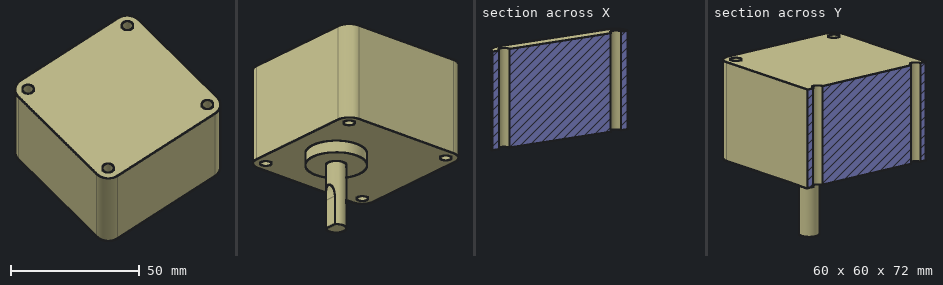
import cadquery as cq
import math

total_height = 72.0
body_side = 60.0
corner_radius = 5.8

hole_diameter = 4.5
hole_spacing = 49.5

shaft_offset = 10.0
boss_diameter = 24.0
boss_height = 5.0
shaft_diameter = 8.0
shaft_length = 27.0
body_height = total_height - boss_height - shaft_length

flat_depth = 1.0
flat_length = 12.0
runout_radius = 15.0

shaft_tip_z = -boss_height - shaft_length


def make_body():
    """Rounded square housing, bottom at Z = 0, with four through holes."""
    return (
        cq.Workplane("XY")
        .rect(body_side, body_side)
        .extrude(body_height)
        .edges("|Z")
        .fillet(corner_radius)
        .faces(">Z")
        .workplane()
        .rect(hole_spacing, hole_spacing, forConstruction=True)
        .vertices()
        .hole(hole_diameter)
    )


def cylinder_below_body(diameter, length):
    """Cylinder on the shaft axis, hanging down from the bottom of the body."""
    return cq.Workplane("XY").center(0, shaft_offset).circle(diameter / 2).extrude(-length)


def make_flat_cutter():
    """Material removed for the shaft flat; the run-out arc is tangent to the flat."""
    surface_y = shaft_offset + shaft_diameter / 2
    flat_y = surface_y - flat_depth
    flat_end_z = shaft_tip_z + flat_length
    runout_height = math.sqrt(runout_radius**2 - (runout_radius - flat_depth) ** 2)
    half_angle = math.asin(runout_height / runout_radius) / 2
    arc_middle = (
        flat_y + runout_radius * (1 - math.cos(half_angle)),
        flat_end_z + runout_radius * math.sin(half_angle),
    )
    return (
        cq.Workplane("YZ")
        .moveTo(flat_y, shaft_tip_z)
        .lineTo(flat_y, flat_end_z)
        .threePointArc(arc_middle, (surface_y, flat_end_z + runout_height))
        .lineTo(surface_y, shaft_tip_z)
        .close()
        .extrude(shaft_diameter / 2, both=True)
    )


boss = cylinder_below_body(boss_diameter, boss_height)
shaft = cylinder_below_body(shaft_diameter, boss_height + shaft_length).cut(make_flat_cutter())
result = make_body().union(boss).union(shaft)